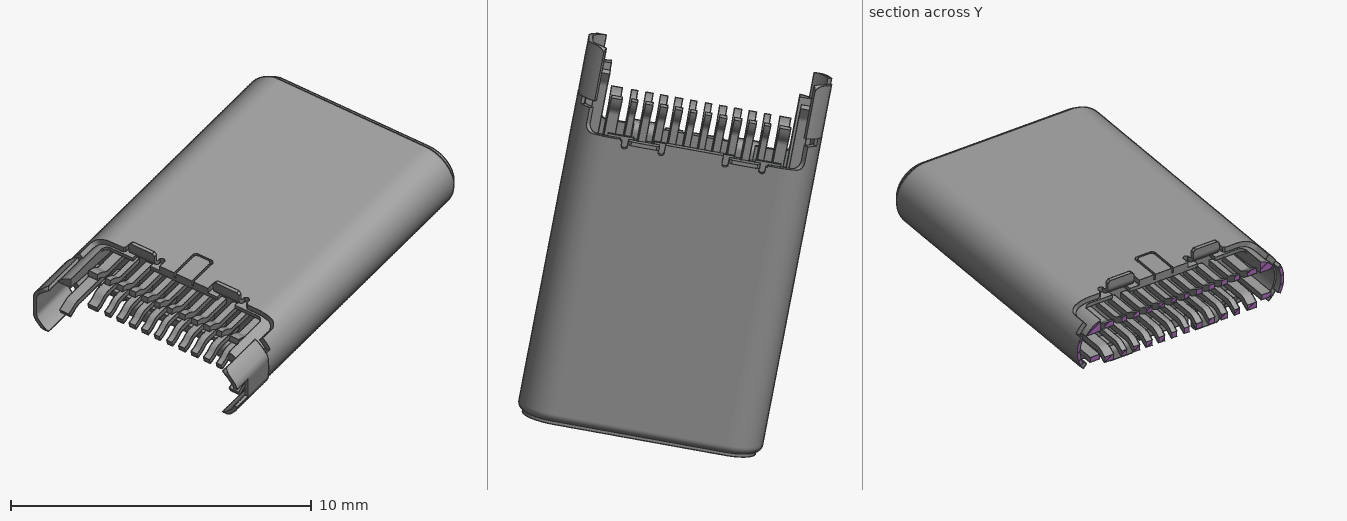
import cadquery as cq
import math

LENGTH = 13.0
SHELL_WIDTH = 8.25
SHELL_HEIGHT = 2.39
WALL = 0.2
FRONT_Y = LENGTH / 2
PEG_TIP_Y = -LENGTH / 2
FRONT_ROUND = 0.27
LIP_INSET = 0.18
LIP_LENGTH = 0.09

SHELL_RADIUS = SHELL_HEIGHT / 2
INNER_RADIUS = SHELL_RADIUS - WALL
FLAT_HALF = SHELL_WIDTH / 2 - SHELL_RADIUS

REAR_Y = -3.64
HOUSING_Y = -3.12
CORNER_TRIM = 0.08
TRIM_ROUND = 0.06
FLANK_END_Y = -4.38
FLANK_ANGLE = math.radians(50.5)
FLANK_ROUND = 0.29
NECK_ANGLE = math.radians(28)

PEG_START_Y = -4.65
PEG_FACE_X = 4.11
PEG_FLAT_HALF = 0.34
PEG_THICKNESS = 0.13
PEG_BEND = 0.47
PEG_BEND_ANGLE = math.radians(36)
PEG_CURVE = 1.51
PEG_END_ANGLE = math.radians(59)
PEG_ROUND = 0.21
FORK_DEPTH = 0.65
FORK_HALF = 0.39

TAB_X = 1.7
TAB_WIDTH = 1.04
TAB_TOP = 1.6
TAB_THICKNESS = 0.13
TAB_BEND = 0.32
TAB_INNER_BEND = 0.09
TAB_CHAMFER = 0.09
RELIEF_WIDTH = 0.21
RELIEF_END_Y = -3.26
RELIEF_OUTER_X = TAB_X + TAB_WIDTH / 2 + RELIEF_WIDTH

TONGUE_HALF = 0.39
TONGUE_END_Y = -2.42
TONGUE_CHAMFER = 0.08
SLIT = 0.06

LINER_THICKNESS = 0.13
LINER_HALF = 2.92
LINER_NOTCH = 0.7
ARM_INNER_X = 3.18
ARM_END_Y = -5.64
ARM_ROOT_Z = 0.45
ARM_TIP_Z = 0.6
ARM_FILLET = 0.2

CONTACT_WIDTHS = (0.21, 0.25, 0.25, 0.25, 0.21)
CONTACT_SPAN = 4.5
CONTACT_PITCH = CONTACT_SPAN / (2 * len(CONTACT_WIDTHS) - 1)
CONTACT_THICKNESS = 0.21
CONTACT_GAP_HALF = 0.36
CONTACT_BEND_Y = -4.2
CONTACT_RISE = math.radians(40)
CONTACT_BEND = 0.3
CONTACT_RETURN = math.radians(13)
CONTACT_RETURN_BEND = 0.6
CONTACT_TIP = 0.09
POWER_X = 2.85
POWER_WIDTH = 0.36
SIDE_X = 3.42
SIDE_WIDTH = 0.38
SIDE_BEND_Y = -5.11
SIDE_RISE = math.radians(26)
SIDE_TIP = 0.39
ROOT_OVERLAP = 0.13


def box(x0, x1, y0, y1, z0, z1):
    size = (x1 - x0, y1 - y0, z1 - z0)
    return cq.Workplane("XY").box(*size, centered=False).translate((x0, y0, z0))


def stadium(radius, y0, y1):
    """Solid with the shell outline at the given end radius, from y0 up to y1."""
    outline = cq.Workplane("XZ", origin=(0, y1, 0)).slot2D(2 * (FLAT_HALF + radius), 2 * radius)
    return outline.extrude(y1 - y0)


def both_sides(solid):
    return solid.union(solid.mirror("YZ"))


def make_shell():
    lip_y = FRONT_Y - LIP_LENGTH
    shell = stadium(SHELL_RADIUS, REAR_Y, lip_y).faces(">Y").edges().fillet(FRONT_ROUND)
    shell = shell.union(stadium(SHELL_RADIUS - LIP_INSET, lip_y - FRONT_ROUND, FRONT_Y))
    shell = shell.cut(stadium(INNER_RADIUS, REAR_Y, HOUSING_Y))
    trim = box(RELIEF_OUTER_X, SHELL_WIDTH, REAR_Y, REAR_Y + CORNER_TRIM, -SHELL_RADIUS, SHELL_RADIUS)
    return shell.cut(both_sides(trim))


def make_wedge(angle, thickness, y0, y1):
    """Right-hand wall of the given thickness within the given angle of mid height."""
    reach = SHELL_WIDTH
    rise = reach * math.tan(angle)
    ring = stadium(SHELL_RADIUS, y0, y1).cut(stadium(SHELL_RADIUS - thickness, y0, y1))
    corners = [(FLAT_HALF, 0), (FLAT_HALF + reach, rise), (FLAT_HALF + reach, -rise)]
    return ring.intersect(cq.Workplane("XZ", origin=(0, y1, 0)).polyline(corners).close().extrude(y1 - y0))


def add_flanks(shell):
    """Side walls running back past the rear edge, with necks that carry the pegs."""
    edge_y = REAR_Y + CORNER_TRIM
    shell = shell.union(both_sides(make_wedge(FLANK_ANGLE, WALL, FLANK_END_Y, HOUSING_Y)))
    margin = 0.01
    corner_x = FLAT_HALF + margin
    for side in (1, -1):
        near, far = sorted((side * corner_x, side * SHELL_WIDTH))
        for z0, z1 in ((margin, SHELL_HEIGHT), (-SHELL_HEIGHT, -margin)):
            corner = cq.selectors.BoxSelector((near, edge_y - margin, z0), (far, edge_y + margin, z1))
            shell = shell.edges(corner).edges("#Y and %LINE").fillet(FLANK_ROUND)
    return shell.union(both_sides(make_wedge(NECK_ANGLE, PEG_THICKNESS, PEG_START_Y, FLANK_END_Y)))


def make_pegs():
    """Bent sheet tongues; the right one is forked at its tip."""
    bend_centre = (PEG_FACE_X - PEG_BEND, PEG_FLAT_HALF)
    offset = PEG_CURVE - PEG_BEND
    curve_centre = (
        bend_centre[0] - offset * math.cos(PEG_BEND_ANGLE),
        bend_centre[1] - offset * math.sin(PEG_BEND_ANGLE),
    )

    def side_points(depth):
        """Points up one face of the sheet: flat, bend middle and end, curve middle and end."""
        turns = (
            (bend_centre, PEG_BEND, 0),
            (bend_centre, PEG_BEND, PEG_BEND_ANGLE / 2),
            (bend_centre, PEG_BEND, PEG_BEND_ANGLE),
            (curve_centre, PEG_CURVE, (PEG_BEND_ANGLE + PEG_END_ANGLE) / 2),
            (curve_centre, PEG_CURVE, PEG_END_ANGLE),
        )
        return [
            (x + (radius - depth) * math.cos(turn), z + (radius - depth) * math.sin(turn))
            for (x, z), radius, turn in turns
        ]

    outer = side_points(0)
    inner = side_points(PEG_THICKNESS)
    half = (
        cq.Workplane("XZ", origin=(0, PEG_START_Y, 0))
        .moveTo(outer[0][0], 0).lineTo(*outer[0])
        .threePointArc(outer[1], outer[2]).threePointArc(outer[3], outer[4])
        .lineTo(*inner[4]).threePointArc(inner[3], inner[2]).threePointArc(inner[1], inner[0])
        .lineTo(inner[0][0], 0).close()
        .extrude(PEG_START_Y - PEG_TIP_Y)
    )
    plate = half.union(half.mirror("XY"))
    peg_half = outer[4][1]
    blank = box(0, SHELL_WIDTH, PEG_TIP_Y, PEG_START_Y, -peg_half, peg_half)
    peg = plate.intersect(blank.edges("|X and <Y").fillet(PEG_ROUND))
    fork = box(0, SHELL_WIDTH, PEG_TIP_Y, PEG_TIP_Y + FORK_DEPTH, -FORK_HALF, FORK_HALF)
    return peg.cut(fork).union(peg.mirror("YZ"))


def make_tab():
    """Upper right solder tab: the wall bends outwards through 90 degrees."""
    bend_y = REAR_Y + TAB_BEND
    strip = box(0, TAB_WIDTH, bend_y, RELIEF_END_Y + ROOT_OVERLAP, INNER_RADIUS, SHELL_RADIUS)
    upright = box(0, TAB_WIDTH, REAR_Y, REAR_Y + TAB_THICKNESS, INNER_RADIUS, TAB_TOP)
    upright = upright.edges("|Y and >Z").chamfer(TAB_CHAMFER)
    elbow = box(0, TAB_WIDTH, REAR_Y, bend_y, INNER_RADIUS, SHELL_RADIUS)
    tab = upright.union(elbow).union(strip)
    tab = tab.edges("|X").edges("<Y").edges("<Z").fillet(TAB_BEND)
    crease = cq.selectors.NearestToPointSelector((TAB_WIDTH / 2, REAR_Y + TAB_THICKNESS, SHELL_RADIUS))
    tab = tab.edges("|X").edges(crease).fillet(TAB_INNER_BEND)
    return tab.translate((TAB_X - TAB_WIDTH / 2, 0, 0))


def make_tab_clearance():
    """Opening around the upper right tab with a round-ended relief on each side."""
    offset = (TAB_WIDTH + RELIEF_WIDTH) / 2
    slot_length = RELIEF_END_Y - REAR_Y
    clearance = box(TAB_X - offset, TAB_X + offset, REAR_Y, REAR_Y + TAB_BEND, INNER_RADIUS, SHELL_RADIUS)
    edge_y = REAR_Y + CORNER_TRIM
    flare = (
        cq.Workplane("XY", origin=(0, 0, INNER_RADIUS))
        .moveTo(RELIEF_OUTER_X, edge_y).lineTo(RELIEF_OUTER_X + TRIM_ROUND, edge_y)
        .radiusArc((RELIEF_OUTER_X, edge_y + TRIM_ROUND), -TRIM_ROUND).close().extrude(WALL)
    )
    clearance = clearance.union(flare)
    for x in (TAB_X - offset, TAB_X + offset):
        relief = (
            cq.Workplane("XY", origin=(x, REAR_Y, INNER_RADIUS))
            .slot2D(2 * slot_length, RELIEF_WIDTH, 90).extrude(WALL)
        )
        clearance = clearance.union(relief)
    return clearance


def make_tongue_slit():
    def block(half_width, end_y):
        solid = box(-half_width, half_width, REAR_Y, end_y, INNER_RADIUS, SHELL_RADIUS)
        return solid.edges("|Z and >Y").chamfer(TONGUE_CHAMFER)

    return block(TONGUE_HALF, TONGUE_END_Y).cut(block(TONGUE_HALF - SLIT, TONGUE_END_Y - SLIT))


def make_liner():
    """Thin plates inside the top and bottom walls, notched below the tabs."""
    root_y = HOUSING_Y + ROOT_OVERLAP
    inner_z = INNER_RADIUS - LINER_THICKNESS
    plate = box(-LINER_HALF, LINER_HALF, REAR_Y, root_y, inner_z, INNER_RADIUS)
    notch = box(TAB_X - LINER_NOTCH / 2, TAB_X + LINER_NOTCH / 2, REAR_Y, HOUSING_Y, inner_z, INNER_RADIUS)
    plate = plate.cut(both_sides(notch))
    return plate.union(plate.mirror("XY"))


def make_arms():
    """Tapered arms filling the upper corners of the shell, with a rounded inner root."""
    root_y = HOUSING_Y + ROOT_OVERLAP
    side = [
        (root_y, ARM_ROOT_Z),
        (REAR_Y, ARM_ROOT_Z),
        (ARM_END_Y, ARM_TIP_Z),
        (ARM_END_Y, SHELL_RADIUS),
        (root_y, SHELL_RADIUS),
    ]
    arm = cq.Workplane("YZ", origin=(ARM_INNER_X, 0, 0)).polyline(side).close().extrude(SHELL_WIDTH)
    root_x = ARM_INNER_X - ARM_FILLET
    root = (
        cq.Workplane("XY", origin=(0, 0, INNER_RADIUS - LINER_THICKNESS))
        .moveTo(ARM_INNER_X, root_y).lineTo(LINER_HALF, root_y)
        .lineTo(LINER_HALF, REAR_Y).lineTo(root_x, REAR_Y)
        .radiusArc((ARM_INNER_X, REAR_Y - ARM_FILLET), ARM_FILLET).close()
        .extrude(LINER_THICKNESS)
    )
    return both_sides(arm.union(root).intersect(stadium(INNER_RADIUS, ARM_END_Y, root_y)))


def make_contact(x, width, bend_y, rise, tip, tip_angle):
    """Upper-row contact: flat, bent up by the rise angle, then eased back to the tip angle."""
    root_y = HOUSING_Y + ROOT_OVERLAP
    low = CONTACT_GAP_HALF
    high = low + CONTACT_THICKNESS
    first = (bend_y, high + CONTACT_BEND)
    between = CONTACT_BEND + CONTACT_THICKNESS + CONTACT_RETURN_BEND
    second = (first[0] - between * math.sin(rise), first[1] - between * math.cos(rise))

    def first_bend(radius, turn):
        return first[0] - radius * math.sin(turn), first[1] - radius * math.cos(turn)

    def second_bend(radius, turn):
        return second[0] + radius * math.sin(turn), second[1] + radius * math.cos(turn)

    def tip_of(point):
        return point[0] - tip * math.cos(tip_angle), point[1] + tip * math.sin(tip_angle)

    under = CONTACT_BEND + CONTACT_THICKNESS
    over = CONTACT_RETURN_BEND + CONTACT_THICKNESS
    outline = cq.Workplane("YZ", origin=(x - width / 2, 0, 0)).moveTo(root_y, low).lineTo(bend_y, low)
    under_end = first_bend(under, rise)
    over_end = first_bend(CONTACT_BEND, rise)
    outline = outline.threePointArc(first_bend(under, rise / 2), under_end)
    if tip_angle < rise:
        middle = (rise + tip_angle) / 2
        under_end = second_bend(CONTACT_RETURN_BEND, tip_angle)
        outline = outline.threePointArc(second_bend(CONTACT_RETURN_BEND, middle), under_end)
        over_tip = second_bend(over, tip_angle)
        outline = outline.lineTo(*tip_of(under_end)).lineTo(*tip_of(over_tip)).lineTo(*over_tip)
        outline = outline.threePointArc(second_bend(over, middle), over_end)
    else:
        outline = outline.lineTo(*tip_of(under_end)).lineTo(*tip_of(over_end)).lineTo(*over_end)
    outline = outline.threePointArc(first_bend(CONTACT_BEND, rise / 2), (bend_y, high))
    return outline.lineTo(root_y, high).close().extrude(width)


def make_contacts():
    row = [((i + 0.5) * CONTACT_PITCH, width) for i, width in enumerate(CONTACT_WIDTHS)]
    row.append((POWER_X, POWER_WIDTH))
    contacts = cq.Workplane("XY")
    for x, width in row:
        upper = make_contact(x, width, CONTACT_BEND_Y, CONTACT_RISE, CONTACT_TIP, CONTACT_RETURN)
        contacts = contacts.add(upper).add(upper.mirror("XY"))
    side = make_contact(SIDE_X, SIDE_WIDTH, SIDE_BEND_Y, SIDE_RISE, SIDE_TIP, SIDE_RISE)
    contacts = contacts.add(side.mirror("XY"))
    return both_sides(contacts.combine())


tab_clearances = both_sides(make_tab_clearance())
tabs = both_sides(make_tab())

result = add_flanks(make_shell())
result = result.cut(tab_clearances).cut(tab_clearances.mirror("XY"))
result = result.cut(make_tongue_slit())
for piece in (make_pegs(), tabs, tabs.mirror("XY"), make_liner(), make_arms(), make_contacts()):
    result = result.union(piece)